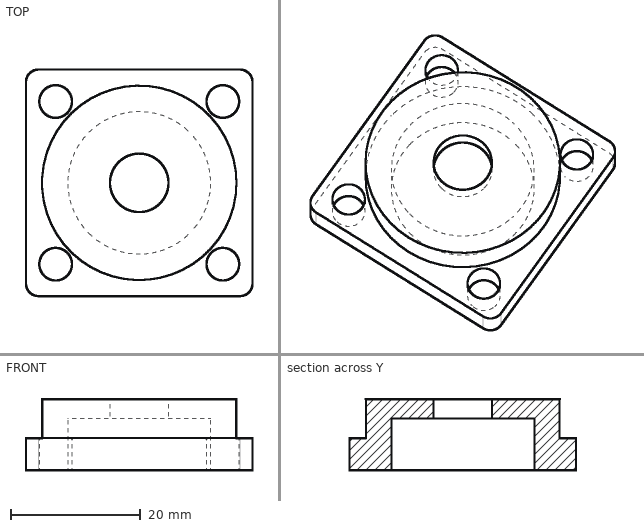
import cadquery as cq

plate_side = 35.0
plate_thickness = 5.0
corner_radius = 2.0

boss_diameter = 30.0
boss_height = 6.0
total_height = plate_thickness + boss_height

bore_diameter = 9.0
bore_depth = 3.0
cavity_diameter = 22.0
cavity_depth = total_height - bore_depth

mount_hole_diameter = 5.0
mount_spacing_x = 25.8
mount_spacing_y = 25.1


def cylinder(diameter, height, base_z):
    """Upright cylinder on the part axis, starting at base_z."""
    return cq.Workplane("XY").workplane(offset=base_z).circle(diameter / 2).extrude(height)


plate = (
    cq.Workplane("XY")
    .rect(plate_side, plate_side)
    .extrude(plate_thickness)
    .edges("|Z")
    .fillet(corner_radius)
)

mount_holes = (
    cq.Workplane("XY")
    .rect(mount_spacing_x, mount_spacing_y, forConstruction=True)
    .vertices()
    .circle(mount_hole_diameter / 2)
    .extrude(plate_thickness)
)

boss = cylinder(boss_diameter, boss_height, plate_thickness)
bore = cylinder(bore_diameter, bore_depth, cavity_depth)
cavity = cylinder(cavity_diameter, cavity_depth, 0)

result = plate.union(boss).cut(mount_holes).cut(cavity).cut(bore)